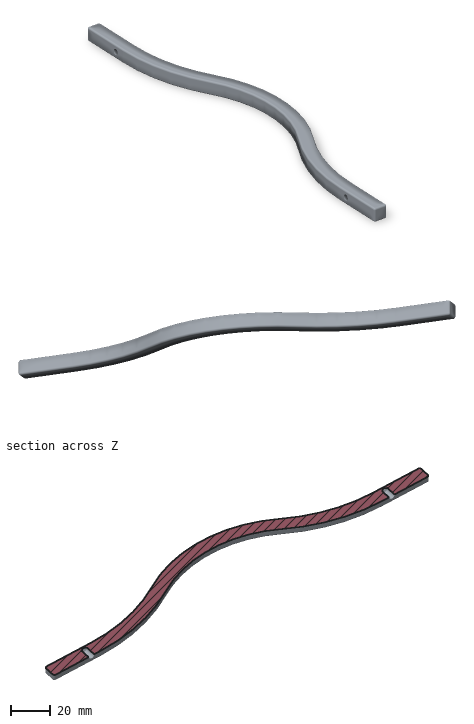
import cadquery as cq
import math

length = 240.0
bar_size = 8.0
total_depth = 33.0
bow_half_span = 90.0
crown_radius = 75.5
edge_radius = 1.0
hole_diameter = 3.4
hole_spacing = 192.0
hole_depth = 6.0
drill_tip_angle = 120.0

rise = total_depth - bar_size
sweep_angle = 2 * math.atan(rise / bow_half_span)
flank_radius = bow_half_span / math.sin(sweep_angle) - crown_radius
half_length = length / 2
half_bar = bar_size / 2


def flank_point(angle):
    """Point on the left flank arc, by angle turned from the straight end."""
    return (
        -bow_half_span + flank_radius * math.sin(angle),
        flank_radius * (1 - math.cos(angle)),
    )


def mirrored(point):
    return (-point[0], point[1])


def make_bar():
    flank_middle = flank_point(sweep_angle / 2)
    inflection = flank_point(sweep_angle)
    centreline = (
        cq.Workplane("XY")
        .moveTo(-half_length, 0)
        .lineTo(-bow_half_span, 0)
        .threePointArc(flank_middle, inflection)
        .threePointArc((0, rise), mirrored(inflection))
        .threePointArc(mirrored(flank_middle), (bow_half_span, 0))
        .lineTo(half_length, 0)
    )
    section = cq.Workplane("YZ", origin=(-half_length, 0, 0)).rect(bar_size, bar_size)
    return section.sweep(centreline)


def round_edges(bar):
    """Round the long edges and the rims of both end faces."""
    long_edges = bar.faces("<Z or >Z").edges()
    end_edges = bar.faces("<X or >X").edges()
    return bar.newObject(long_edges.add(end_edges).vals()).fillet(edge_radius)


def make_mounting_hole(x):
    """Blind drilled hole in the flat mounting face with a conical bottom."""
    radius = hole_diameter / 2
    tip_depth = hole_depth + radius / math.tan(math.radians(drill_tip_angle / 2))
    return (
        cq.Workplane("XY", origin=(x, -half_bar, 0))
        .polyline(
            [
                (0, 0),
                (radius, 0),
                (radius, hole_depth),
                (0, tip_depth),
            ]
        )
        .close()
        .revolve(360, (0, 0, 0), (0, 1, 0))
    )


result = round_edges(make_bar())
for hole_x in (-hole_spacing / 2, hole_spacing / 2):
    result = result.cut(make_mounting_hole(hole_x))